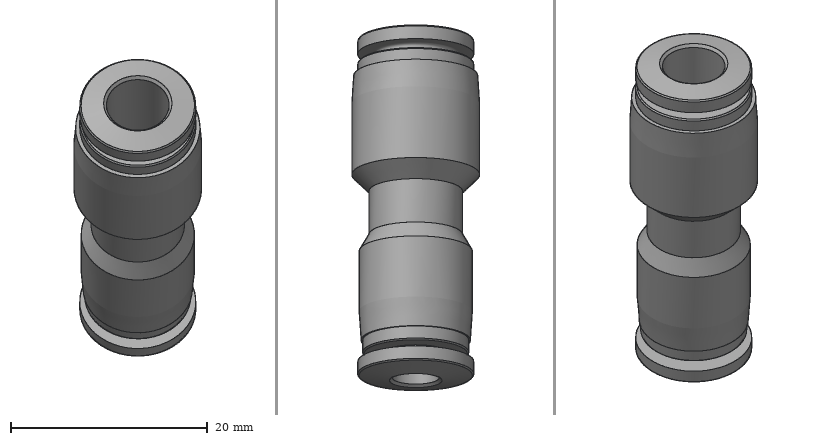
import cadquery as cq
import math

TOTAL_HEIGHT = 36.3

FLANGE_DIAMETER = 11.8
FLANGE_FACE_DIAMETER = 11.5
FACE_ANGLE = math.radians(10)
NECK_FILLET = 0.3
EDGE_CHAMFER = (FLANGE_DIAMETER - FLANGE_FACE_DIAMETER) / 2

WAIST_DIAMETER = 9.5
WAIST_BOTTOM = 15.4
WAIST_TOP = 19.95

LOWER_FLANGE_INNER = 2.0
LOWER_NECK_DIAMETER = 6.75
LOWER_COLLAR_END = 2.83
LOWER_COLLAR_DIAMETER = 10.78
LOWER_TAPER_END = 4.25
LOWER_TAPER_DIAMETER = 11.1
LOWER_TAPER_START = 7.22
LOWER_BODY_DIAMETER = 11.5
LOWER_BODY_INNER = 13.65
LOWER_BORE_DIAMETER = 4.75

UPPER_FLANGE_INNER = 34.4
UPPER_NECK_DIAMETER = 8.35
UPPER_COLLAR_END = 33.5
UPPER_COLLAR_DIAMETER = FLANGE_DIAMETER
UPPER_TAPER_END = 32.13
UPPER_TAPER_DIAMETER = 12.65
UPPER_TAPER_START = 29.2
UPPER_BODY_DIAMETER = 13.0
UPPER_BODY_INNER = 21.7
UPPER_BORE_DIAMETER = 6.35

THROUGH_DIAMETER = 3.8
BORE_CHAMFER = 0.3


def make_socket(end, inward, flange_inner, neck_diameter, collar_end, collar_diameter,
                taper_end, taper_diameter, taper_start, body_diameter, body_inner,
                waist_end, bore_diameter):
    """Revolve one bored end; inward is +1 or -1, the Z direction from its face to the waist."""
    bore_radius = bore_diameter / 2
    mouth_radius = bore_radius + BORE_CHAMFER
    face_radius = FLANGE_FACE_DIAMETER / 2
    flange_radius = FLANGE_DIAMETER / 2
    neck_radius = neck_diameter / 2
    collar_radius = collar_diameter / 2
    face_edge = end + inward * (face_radius - mouth_radius) * math.tan(FACE_ANGLE)

    fillet_radius = neck_radius + NECK_FILLET
    fillet_end = flange_inner + inward * NECK_FILLET
    diagonal = NECK_FILLET * math.sqrt(0.5)
    fillet_middle = (fillet_radius - diagonal, fillet_end - inward * diagonal)

    profile = (
        cq.Workplane("XZ")
        .moveTo(bore_radius, waist_end)
        .lineTo(bore_radius, end + inward * BORE_CHAMFER)
        .lineTo(mouth_radius, end)
        .lineTo(face_radius, face_edge)
        .lineTo(flange_radius, face_edge + inward * EDGE_CHAMFER)
        .lineTo(flange_radius, flange_inner)
        .lineTo(fillet_radius, flange_inner)
        .threePointArc(fillet_middle, (neck_radius, fillet_end))
        .lineTo(neck_radius, collar_end)
        .lineTo(collar_radius - EDGE_CHAMFER, collar_end)
        .lineTo(collar_radius, collar_end + inward * EDGE_CHAMFER)
        .lineTo(collar_radius, taper_end)
        .lineTo(taper_diameter / 2, taper_end)
        .lineTo(body_diameter / 2, taper_start)
        .lineTo(body_diameter / 2, body_inner)
        .lineTo(WAIST_DIAMETER / 2, waist_end)
        .close()
    )
    return profile.revolve(360, (0, 0, 0), (0, 1, 0))


def make_waist():
    """Cylindrical waist with the narrow through passage."""
    return (
        cq.Workplane("XY", origin=(0, 0, WAIST_BOTTOM))
        .circle(WAIST_DIAMETER / 2)
        .circle(THROUGH_DIAMETER / 2)
        .extrude(WAIST_TOP - WAIST_BOTTOM)
    )


lower_socket = make_socket(
    end=0,
    inward=1,
    flange_inner=LOWER_FLANGE_INNER,
    neck_diameter=LOWER_NECK_DIAMETER,
    collar_end=LOWER_COLLAR_END,
    collar_diameter=LOWER_COLLAR_DIAMETER,
    taper_end=LOWER_TAPER_END,
    taper_diameter=LOWER_TAPER_DIAMETER,
    taper_start=LOWER_TAPER_START,
    body_diameter=LOWER_BODY_DIAMETER,
    body_inner=LOWER_BODY_INNER,
    waist_end=WAIST_BOTTOM,
    bore_diameter=LOWER_BORE_DIAMETER,
)
upper_socket = make_socket(
    end=TOTAL_HEIGHT,
    inward=-1,
    flange_inner=UPPER_FLANGE_INNER,
    neck_diameter=UPPER_NECK_DIAMETER,
    collar_end=UPPER_COLLAR_END,
    collar_diameter=UPPER_COLLAR_DIAMETER,
    taper_end=UPPER_TAPER_END,
    taper_diameter=UPPER_TAPER_DIAMETER,
    taper_start=UPPER_TAPER_START,
    body_diameter=UPPER_BODY_DIAMETER,
    body_inner=UPPER_BODY_INNER,
    waist_end=WAIST_TOP,
    bore_diameter=UPPER_BORE_DIAMETER,
)
result = make_waist().union(lower_socket).union(upper_socket)